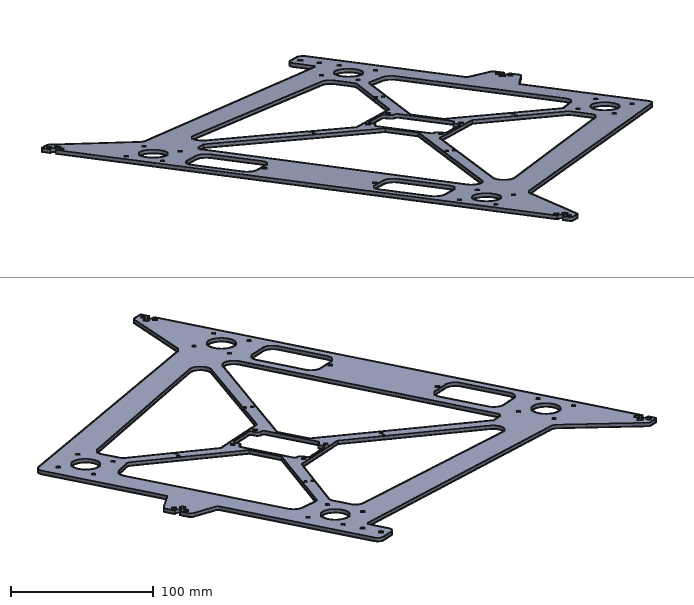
import cadquery as cq
import math

thickness = 2.8
base_width = 413.64
total_depth = 320.0
half_base = base_width / 2

foot_tip_height = 10.3
foot_corner_radius = 1.2
foot_tip_radius = 2.0
leg_foot_x = 149.8
leg_foot_y = 46.5
leg_foot_radius = 6.0
leg_top_x = 125.8
top_rail_y = 298.0
shoulder_radius = 6.0
leg_slope = (leg_foot_x - leg_top_x) / (top_rail_y - leg_foot_y)

ear_x = -150.5
ear_bottom_y = 277.2
ear_radius = 5.0
ear_root_radius = 2.0

tab_half_top = 11.2
tab_half_root = 20.2
tab_tip_radius = 3.0
tab_root_radius = 2.0

mount_foot_x = 197.8
mount_slot_width = 4.2
mount_slot_depth = 3.8
mount_bolt_diameter = 4.2
mount_bolt_inset = 7.6
mount_pin_diameter = 3.4
mount_pin_inset = 3.9
mount_pin_offset = 4.8

rod_diameter = 20.5
rod_screw_diameter = 2.53
rod_screw_pitch = 28.3
upper_rod_x = 100.0
upper_rod_y = 272.0
lower_rod_x = 130.0
lower_rod_y = 21.5

ear_outer_hole_x = -144.5
ear_outer_hole_diameter = 3.4
ear_inner_hole_x = -129.7
ear_inner_hole_diameter = 3.0

base_window_width = 54.6
base_window_height = 30.4
base_window_x = 73.2
base_window_y = 22.3
base_window_radius = 8.0
base_window_hole_x = 43.0
base_window_hole_y = 21.3
base_window_hole_diameter = 3.0

center_y = 172.5
frame_half_x = 32.4
frame_half_y = 20.2
pocket_half_x = 30.5
pocket_half_y = 17.6
pocket_side_radius = 2.0
pocket_end_radius = 2.0
corner_pad_x = 23.0
corner_pad_y = 12.3
corner_pad_radius = 3.0
corner_hole_x = 28.4
corner_hole_y = 16.0
corner_hole_diameter = 3.0

strut_start_x = 13.0
strut_start_y = 26.0
strut_hole_diameter = 2.0
strut_hole_spacing = 5.4
strut_upper_x = 52.8
strut_upper_y = 224.6
strut_lower_x = 53.7
strut_lower_y = 120.2

upper_window_top_y = 278.4
upper_window_top_x = 72.5
upper_window_side_x = 75.9
upper_window_side_y = 254.8
upper_window_top_radius = 8.0
upper_window_side_radius = 4.0

lower_window_side_x = 108.8
lower_window_side_y = 59.0
lower_window_left_y = 46.6
lower_window_right_x = 122.0
lower_window_right_y = 45.5
lower_window_left_radius = 4.0
lower_window_right_radius = 8.0

side_window_top_y = 249.4
side_window_top_inner_x = 83.2
side_window_top_outer_x = 105.9
side_window_bottom_x = 127.7
side_window_bottom_y = 53.7
side_window_top_radius = 7.0
side_window_bottom_radius = 8.0


def rounded_wire(corners):
    """Closed outline through (x, y, radius) corners; a radius of 0 keeps the corner sharp."""
    stretches = []
    for index, (x, y, radius) in enumerate(corners):
        before = corners[index - 1]
        after = corners[(index + 1) % len(corners)]
        corner = cq.Vector(x, y)
        if radius == 0:
            stretches.append((corner, None, corner))
            continue
        to_before = (cq.Vector(before[0], before[1]) - corner).normalized()
        to_after = (cq.Vector(after[0], after[1]) - corner).normalized()
        half_angle = to_before.getAngle(to_after) / 2
        tangent_length = radius / math.tan(half_angle)
        middle_distance = radius / math.sin(half_angle) - radius
        bisector = (to_before + to_after).normalized()
        stretches.append((
            corner + to_before * tangent_length,
            corner + bisector * middle_distance,
            corner + to_after * tangent_length,
        ))
    outline = cq.Workplane("XY").moveTo(*stretches[0][2].toTuple()[:2])
    for start, middle, end in stretches[1:] + stretches[:1]:
        outline = outline.lineTo(*start.toTuple()[:2])
        if middle is not None:
            outline = outline.threePointArc(middle.toTuple()[:2], end.toTuple()[:2])
    return outline.close()


def rounded_prism(corners):
    return rounded_wire(corners).extrude(thickness)


def mirrored(corners):
    return [(-x, y, radius) for x, y, radius in reversed(corners)]


def round_holes(points, diameter):
    return cq.Workplane("XY").pushPoints(points).circle(diameter / 2).extrude(thickness)


def plate():
    right_foot = [
        (half_base, 0, foot_corner_radius),
        (half_base, foot_tip_height, foot_tip_radius),
        (leg_foot_x, leg_foot_y, leg_foot_radius),
    ]
    right_tab = [
        (tab_half_root, top_rail_y, tab_root_radius),
        (tab_half_top, total_depth, tab_tip_radius),
    ]
    ear_root_x = -leg_top_x - leg_slope * (top_rail_y - ear_bottom_y)
    ear = [
        (ear_x, top_rail_y, ear_radius),
        (ear_x, ear_bottom_y, ear_radius),
        (ear_root_x, ear_bottom_y, ear_root_radius),
    ]
    shoulder = [(leg_top_x, top_rail_y, shoulder_radius)]
    right = right_foot + shoulder + right_tab
    left = mirrored(right_tab) + ear + mirrored(right_foot)
    return rounded_prism(right + left)


def upper_window():
    right = [
        (strut_start_x, center_y + frame_half_y, 0),
        (upper_window_side_x, upper_window_side_y, upper_window_side_radius),
        (upper_window_top_x, upper_window_top_y, upper_window_top_radius),
    ]
    return rounded_prism(right + mirrored(right))


def lower_window():
    frame_y = center_y - frame_half_y
    return rounded_prism([
        (strut_start_x, frame_y, 0),
        (-strut_start_x, frame_y, 0),
        (-lower_window_side_x, lower_window_side_y, 0),
        (-lower_window_side_x, lower_window_left_y, lower_window_left_radius),
        (lower_window_right_x, lower_window_right_y, lower_window_right_radius),
    ])


def side_windows():
    right = [
        (frame_half_x, center_y + strut_start_y, 0),
        (frame_half_x, center_y - strut_start_y, 0),
        (side_window_bottom_x, side_window_bottom_y, side_window_bottom_radius),
        (side_window_top_outer_x, side_window_top_y, side_window_top_radius),
        (side_window_top_inner_x, side_window_top_y, side_window_top_radius),
    ]
    return rounded_prism(right).union(rounded_prism(mirrored(right)))


def center_pocket():
    """Rectangular opening that leaves a pad around the screw hole in each corner."""
    upper_right = [
        (pocket_half_x, center_y + corner_pad_y, pocket_side_radius),
        (corner_pad_x, center_y + corner_pad_y, corner_pad_radius),
        (corner_pad_x, center_y + pocket_half_y, pocket_end_radius),
    ]
    lower_right = [(x, 2 * center_y - y, radius) for x, y, radius in reversed(upper_right)]
    return rounded_prism(upper_right + mirrored(upper_right) + mirrored(lower_right) + lower_right)


def base_windows():
    return (
        cq.Workplane("XY")
        .pushPoints([(-base_window_x, base_window_y), (base_window_x, base_window_y)])
        .rect(base_window_width, base_window_height)
        .extrude(thickness)
        .edges("|Z")
        .fillet(base_window_radius)
    )


def mounting_point(x, edge_y, inward):
    """Round-ended edge slot, bolt hole and pin holes; inward is +1 or -1 along Y."""
    half_width = mount_slot_width / 2
    end_y = edge_y + inward * (mount_slot_depth - half_width)
    mouth = (
        cq.Workplane("XY")
        .center(x, edge_y)
        .rect(mount_slot_width, 2 * (mount_slot_depth - half_width))
        .extrude(thickness)
    )
    slot = mouth.union(round_holes([(x, end_y)], mount_slot_width))
    bolt = round_holes([(x, edge_y + inward * mount_bolt_inset)], mount_bolt_diameter)
    pin_y = edge_y + inward * mount_pin_inset
    pins = round_holes([(x - mount_pin_offset, pin_y), (x + mount_pin_offset, pin_y)], mount_pin_diameter)
    return slot.union(bolt).union(pins)


def rod_holes():
    centers = []
    for side in (-1, 1):
        centers.append((side * upper_rod_x, upper_rod_y))
        centers.append((side * lower_rod_x, lower_rod_y))
    half_pitch = rod_screw_pitch / 2
    offsets = (-half_pitch, half_pitch)
    screws = [(x + dx, y + dy) for x, y in centers for dx in offsets for dy in offsets]
    return round_holes(centers, rod_diameter).union(round_holes(screws, rod_screw_diameter))


def ear_holes():
    y = upper_rod_y + rod_screw_pitch / 2
    outer = round_holes([(ear_outer_hole_x, y)], ear_outer_hole_diameter)
    return outer.union(round_holes([(ear_inner_hole_x, y)], ear_inner_hole_diameter))


def strut_holes():
    """A pair of holes across each diagonal strut."""
    step = strut_hole_spacing / 2 * math.sqrt(0.5)
    points = []
    for side in (-1, 1):
        for along in (-step, step):
            points.append((side * (strut_upper_x + along), strut_upper_y - along))
            points.append((side * (strut_lower_x + along), strut_lower_y + along))
    return round_holes(points, strut_hole_diameter)


def base_window_holes():
    y = base_window_hole_y
    return round_holes([(-base_window_hole_x, y), (base_window_hole_x, y)], base_window_hole_diameter)


def corner_holes():
    """Screw holes in the corner pads of the central frame."""
    points = []
    for side in (-1, 1):
        points.append((side * corner_hole_x, center_y - corner_hole_y))
        points.append((side * corner_hole_x, center_y + corner_hole_y))
    return round_holes(points, corner_hole_diameter)


cutters = [
    upper_window(),
    lower_window(),
    side_windows(),
    center_pocket(),
    base_windows(),
    base_window_holes(),
    corner_holes(),
    strut_holes(),
    rod_holes(),
    ear_holes(),
    mounting_point(-mount_foot_x, 0, 1),
    mounting_point(mount_foot_x, 0, 1),
    mounting_point(0, total_depth, -1),
]

result = plate()
for cutter in cutters:
    result = result.cut(cutter)